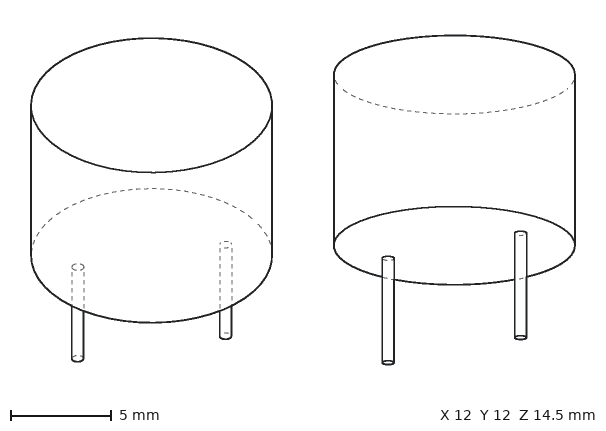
import cadquery as cq

total_height = 14.5
body_diameter = 12.0
body_height = 9.0

pin_diameter = 0.6
pin_spacing = 7.63
pin_length = total_height - body_height


def make_body():
    """Plain cylinder standing on the XY plane."""
    return cq.Workplane("XY").circle(body_diameter / 2).extrude(body_height)


def make_pins():
    """Pair of pins along Y, reaching down from the body's underside."""
    pin_centers = [(0, side * pin_spacing / 2) for side in (-1, 1)]
    return (
        cq.Workplane("XY")
        .pushPoints(pin_centers)
        .circle(pin_diameter / 2)
        .extrude(-pin_length)
    )


result = make_body().union(make_pins())